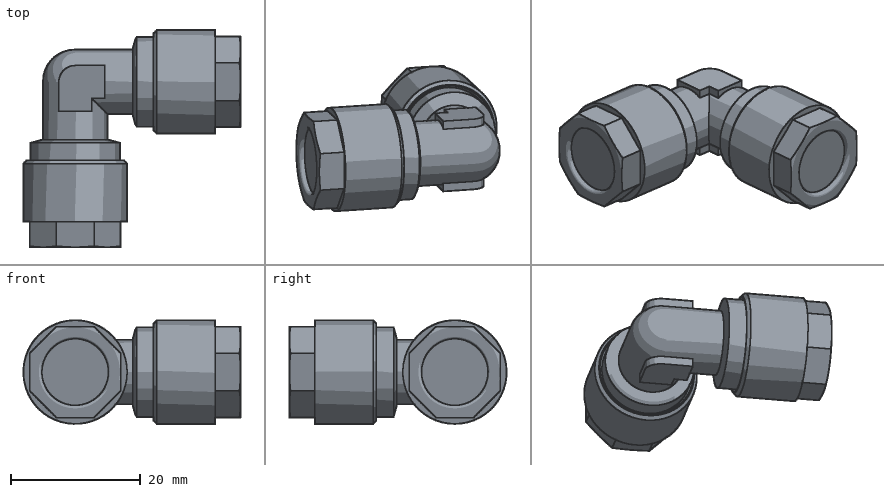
import cadquery as cq

overall_length = 33.5
sleeve_radius = 8.0
arm_length = overall_length - sleeve_radius
pipe_radius = 5.0
overlap = 0.35

collar_start = 8.9
collar_radius = 6.93
collar_face_radius = 5.12
collar_bevel = 0.5
broken_bevel_radius = 6.43
broken_bevel_lengths = (0.37, 0.3)
broken_bevel_start = 8.85

sleeve_start = 12.05
sleeve_end = 21.55
sleeve_chamfer = 0.55
mouth_radius = 7.3
mouth_depth = mouth_radius - collar_radius

nut_sides = 8
nut_across_flats = 14.0
nut_end_radius = 6.9
nut_bevel_rise = 0.3
recess_radius = 5.12
recess_rim_radius = 5.6
recess_depth = 0.87

pad_half_width = 2.5
pad_reach = 4.52
pad_height = 5.6


def octagon_nut():
    """Nut along +Z, with its outer corners bevelled by a cone."""
    start = sleeve_end - overlap
    envelope_radius = 2 * sleeve_radius
    blank = (
        cq.Workplane("XY", origin=(0, 0, start))
        .polygon(nut_sides, nut_across_flats, circumscribed=True)
        .extrude(arm_length - start)
    )
    bevel_length = (envelope_radius - nut_end_radius) * nut_bevel_rise
    envelope = (
        cq.Workplane("XZ")
        .moveTo(0, start)
        .lineTo(envelope_radius, start)
        .lineTo(envelope_radius, arm_length - bevel_length)
        .lineTo(nut_end_radius, arm_length)
        .lineTo(0, arm_length)
        .close()
        .revolve(360, (0, 0), (0, 1))
    )
    return blank.intersect(envelope)


def arm(bevel_points):
    """One complete arm along +Z: pipe, collar, sleeve and nut.

    bevel_points lists (radius, position) along the front bevel of the collar.
    """
    body = (
        cq.Workplane("XZ")
        .lineTo(pipe_radius, 0)
        .lineTo(pipe_radius, bevel_points[0][1])
        .polyline(bevel_points, includeCurrent=True)
        .lineTo(collar_radius, sleeve_start + mouth_depth)
        .lineTo(mouth_radius, sleeve_start)
        .lineTo(sleeve_radius - sleeve_chamfer, sleeve_start)
        .lineTo(sleeve_radius, sleeve_start + sleeve_chamfer)
        .lineTo(sleeve_radius, sleeve_end)
        .lineTo(0, sleeve_end)
        .close()
        .revolve(360, (0, 0), (0, 1))
    )
    rim_round = recess_rim_radius - recess_radius
    recess = (
        cq.Workplane("XZ")
        .moveTo(0, arm_length - recess_depth)
        .lineTo(recess_radius, arm_length - recess_depth)
        .lineTo(recess_radius, arm_length - rim_round)
        .radiusArc((recess_rim_radius, arm_length), rim_round)
        .lineTo(0, arm_length)
        .close()
        .revolve(360, (0, 0), (0, 1))
    )
    return body.union(octagon_nut()).cut(recess)


def pads():
    """L-shaped block through the elbow, with a round outer corner."""
    w = pad_half_width
    return (
        cq.Workplane("XY", origin=(0, 0, -pad_height))
        .moveTo(0, w)
        .lineTo(pad_reach, w)
        .lineTo(pad_reach, -w)
        .lineTo(w, -w)
        .lineTo(w, -pad_reach)
        .lineTo(-w, -pad_reach)
        .lineTo(-w, 0)
        .radiusArc((0, w), w)
        .close()
        .extrude(2 * pad_height)
    )


origin = (0, 0, 0)

plain_bevel = [
    (collar_face_radius, collar_start),
    (collar_radius, collar_start + collar_bevel),
]
broken_bevel = [
    (collar_face_radius, broken_bevel_start),
    (broken_bevel_radius, broken_bevel_start + broken_bevel_lengths[0]),
    (collar_radius, broken_bevel_start + sum(broken_bevel_lengths)),
]
arm_x = arm(broken_bevel).rotate(origin, (0, 1, 0), 90)
arm_minus_y = arm(plain_bevel).rotate(origin, (1, 0, 0), 90)
elbow_ball = cq.Workplane("XY").sphere(pipe_radius)

result = arm_x.union(arm_minus_y).union(elbow_ball).union(pads())